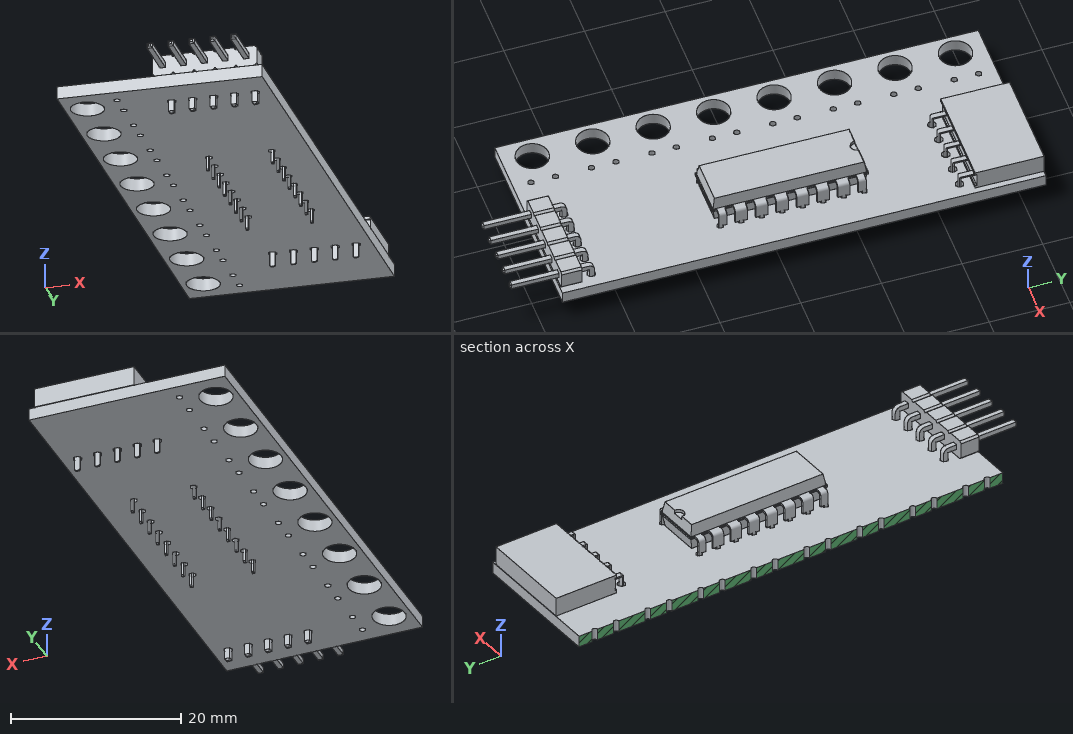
import cadquery as cq
import math


BOARD_WIDTH = 25.0
BOARD_LENGTH = 60.0
BOARD_THICKNESS = 1.6
LED_COUNT = 8
LED_HOLE_DIAMETER = 4.0
LED_HOLE_X = 2.7
LED_PITCH = BOARD_LENGTH / LED_COUNT
WIRE_HOLE_DIAMETER = 0.7
WIRE_HOLE_X = 6.7
WIRE_HOLE_SPACING = 3.0

CHIP_LEADS_PER_SIDE = 8
CHIP_ROW_LENGTH = 17.8
PIN_PITCH = CHIP_ROW_LENGTH / (CHIP_LEADS_PER_SIDE - 1)
CONNECTOR_PIN_COUNT = 5
CONNECTOR_WIDTH = CONNECTOR_PIN_COUNT * PIN_PITCH
CONNECTOR_CENTER_X = 17.9
CONNECTOR_HOLE_DIAMETER = 1.0
CONNECTOR_STANDOFF = 0.05
TAIL_LENGTH = 1.65
TAIL_TIP_CHAMFER = 0.1

HEADER_EDGE_GAP = 0.1
HEADER_CHAMFER = 0.25
HEADER_PIN_SIZE = 0.65
HEADER_PIN_Y = 4.2
HEADER_PIN_REACH = 5.9
HEADER_PIN_BEND_RADIUS = 0.8
HEADER_PIN_TIP_CHAMFER = 0.2
HEADER_TAIL_LENGTH = 1.5

SOCKET_DEPTH = 8.6
SOCKET_GROOVE_DEPTH = 0.2
SOCKET_LIP_HEIGHT = 0.4
SOCKET_PIN_WIDTH = 0.65
SOCKET_PIN_THICKNESS = 0.2
SOCKET_PIN_BEND_RADIUS = 0.2
SOCKET_PIN_INSET = 10.1

CHIP_LENGTH = 19.4
CHIP_WIDTH = 6.4
CHIP_LEDGE = 0.1
CHIP_TAPER = 0.25
CHIP_FACE_INSET = CHIP_LEDGE + CHIP_TAPER
CHIP_BASE_GAP = 0.3
CHIP_TOP_HEIGHT = 3.75
CHIP_NOTCH_DIAMETER = 1.5
CHIP_NOTCH_DEPTH = 0.4
CHIP_HOLE_DIAMETER = 0.8
LEAD_ROW_SPACING = 3 * PIN_PITCH
LEAD_THICKNESS = 0.25
LEAD_TOP_HEIGHT = 2.25
LEAD_BEND_RADIUS = 0.5
LEAD_WIDTH = 1.5
LEAD_TAIL_WIDTH = 0.45
LEAD_SHOULDER_GAP = 0.2

BOARD_TOP = BOARD_THICKNESS
CONNECTOR_BASE = BOARD_TOP + CONNECTOR_STANDOFF
CONNECTOR_TOP = CONNECTOR_BASE + PIN_PITCH
CONNECTOR_PIN_Z = (CONNECTOR_BASE + CONNECTOR_TOP) / 2
CONNECTOR_XS = [
    CONNECTOR_CENTER_X + (i - (CONNECTOR_PIN_COUNT - 1) / 2) * PIN_PITCH
    for i in range(CONNECTOR_PIN_COUNT)
]
CONNECTOR_LEFT = CONNECTOR_CENTER_X - CONNECTOR_WIDTH / 2
SOCKET_PIN_Y = BOARD_LENGTH - SOCKET_PIN_INSET
CHIP_CENTER_X = CONNECTOR_XS[0] + LEAD_ROW_SPACING / 2
CHIP_CENTER_Y = BOARD_LENGTH / 2
LEAD_YS = [
    CHIP_CENTER_Y - CHIP_ROW_LENGTH / 2 + i * PIN_PITCH
    for i in range(CHIP_LEADS_PER_SIDE)
]
LED_YS = [
    BOARD_LENGTH / 2 + (i - (LED_COUNT - 1) / 2) * LED_PITCH
    for i in range(LED_COUNT)
]


def box(x_range, y_range, z_range):
    """Axis-aligned block between the given limits."""
    (x0, x1), (y0, y1), (z0, z1) = x_range, y_range, z_range
    return cq.Workplane("XY").box(x1 - x0, y1 - y0, z1 - z0, centered=False).translate((x0, y0, z0))


def drill(body, points, diameter):
    """Holes through the full thickness of the board."""
    holes = cq.Workplane("XY").pushPoints(points).circle(diameter / 2).extrude(BOARD_THICKNESS)
    return body.cut(holes)


def make_board():
    board = box((0, BOARD_WIDTH), (0, BOARD_LENGTH), (0, BOARD_THICKNESS))
    half_spacing = WIRE_HOLE_SPACING / 2
    wire_points = [(WIRE_HOLE_X, y + side * half_spacing) for y in LED_YS for side in (-1, 1)]
    half_rows = LEAD_ROW_SPACING / 2
    lead_points = [(CHIP_CENTER_X + side * half_rows, y) for y in LEAD_YS for side in (-1, 1)]
    connector_points = [(x, y) for x in CONNECTOR_XS for y in (HEADER_PIN_Y, SOCKET_PIN_Y)]
    board = drill(board, [(LED_HOLE_X, y) for y in LED_YS], LED_HOLE_DIAMETER)
    board = drill(board, wire_points, WIRE_HOLE_DIAMETER)
    board = drill(board, lead_points, CHIP_HOLE_DIAMETER)
    return drill(board, connector_points, CONNECTOR_HOLE_DIAMETER)


def header_pin(x):
    """Square pin bent from a tail through the board to a contact over the front edge."""
    half = HEADER_PIN_SIZE / 2
    x_range = (x - half, x + half)
    z_top = CONNECTOR_PIN_Z + half
    leg = box(x_range, (HEADER_PIN_Y - half, HEADER_PIN_Y + half), (-HEADER_TAIL_LENGTH, z_top))
    leg = leg.faces("<Z").chamfer(HEADER_PIN_TIP_CHAMFER)
    contact = box(x_range, (-HEADER_PIN_REACH, HEADER_PIN_Y + half), (CONNECTOR_PIN_Z - half, z_top))
    contact = contact.faces("<Y").chamfer(HEADER_PIN_TIP_CHAMFER)
    return leg.union(contact).edges("|X and >Y and >Z").fillet(HEADER_PIN_BEND_RADIUS)


def make_header():
    """Row of chamfered cubic cells, one per pin, with the pins fixed in it."""
    y_range = (HEADER_EDGE_GAP, HEADER_EDGE_GAP + PIN_PITCH)
    z_range = (CONNECTOR_BASE, CONNECTOR_TOP)
    header = None
    for x in CONNECTOR_XS:
        cell = box((x - PIN_PITCH / 2, x + PIN_PITCH / 2), y_range, z_range)
        cell = cell.edges("|Y").chamfer(HEADER_CHAMFER).union(header_pin(x))
        header = cell if header is None else header.union(cell)
    return header


def socket_pin(x):
    """Flat L-shaped pin from the socket's rear face down through the board."""
    half_width = SOCKET_PIN_WIDTH / 2
    half = SOCKET_PIN_THICKNESS / 2
    x_range = (x - half_width, x + half_width)
    rear_face_y = BOARD_LENGTH - SOCKET_DEPTH + SOCKET_GROOVE_DEPTH
    leg = box(x_range, (SOCKET_PIN_Y - half, SOCKET_PIN_Y + half), (-TAIL_LENGTH, CONNECTOR_PIN_Z + half))
    leg = leg.faces("<Z").edges("|Y").chamfer(TAIL_TIP_CHAMFER)
    arm = box(x_range, (SOCKET_PIN_Y - half, rear_face_y), (CONNECTOR_PIN_Z - half, CONNECTOR_PIN_Z + half))
    return leg.union(arm).edges("|X and <Y and >Z").fillet(SOCKET_PIN_BEND_RADIUS)


def make_socket():
    """Block flush with the back edge, with a groove between two lips where the pins leave it."""
    x_range = (CONNECTOR_LEFT, CONNECTOR_LEFT + CONNECTOR_WIDTH)
    rear_y = BOARD_LENGTH - SOCKET_DEPTH
    socket = box(x_range, (rear_y, BOARD_LENGTH), (CONNECTOR_BASE, CONNECTOR_TOP))
    groove = box(
        x_range,
        (rear_y, rear_y + SOCKET_GROOVE_DEPTH),
        (CONNECTOR_BASE + SOCKET_LIP_HEIGHT, CONNECTOR_TOP - SOCKET_LIP_HEIGHT),
    )
    socket = socket.cut(groove)
    for x in CONNECTOR_XS:
        socket = socket.union(socket_pin(x))
    return socket


def chip_lead(side, y, shoulder_front, shoulder_back):
    """Bent lead: flat run out of the body, wide shoulder, narrow tail through the board."""
    inner_x = LEAD_ROW_SPACING / 2
    outer_x = inner_x + LEAD_THICKNESS
    root_x = CHIP_WIDTH / 2 - CHIP_FACE_INSET
    z_top = BOARD_TOP + LEAD_TOP_HEIGHT
    shoulder_z = BOARD_TOP + LEAD_SHOULDER_GAP
    bend_x = outer_x - LEAD_BEND_RADIUS
    bend_z = z_top - LEAD_BEND_RADIUS
    inner_radius = LEAD_BEND_RADIUS - LEAD_THICKNESS
    diagonal = math.sqrt(0.5)
    lead = (
        cq.Workplane("XZ", origin=(0, y + shoulder_back, 0))
        .moveTo(root_x, z_top)
        .lineTo(bend_x, z_top)
        .threePointArc(
            (bend_x + diagonal * LEAD_BEND_RADIUS, bend_z + diagonal * LEAD_BEND_RADIUS),
            (outer_x, bend_z),
        )
        .lineTo(outer_x, shoulder_z)
        .lineTo(inner_x, shoulder_z)
        .lineTo(inner_x, bend_z)
        .threePointArc(
            (bend_x + diagonal * inner_radius, bend_z + diagonal * inner_radius),
            (bend_x, z_top - LEAD_THICKNESS),
        )
        .lineTo(root_x, z_top - LEAD_THICKNESS)
        .close()
        .extrude(shoulder_front + shoulder_back)
    )
    half_tail = LEAD_TAIL_WIDTH / 2
    tail = box((inner_x, outer_x), (y - half_tail, y + half_tail), (-TAIL_LENGTH, shoulder_z))
    tail = tail.faces("<Z").edges("|X").chamfer(TAIL_TIP_CHAMFER)
    lead = lead.union(tail)
    if side < 0:
        lead = lead.mirror("YZ")
    return lead.translate((CHIP_CENTER_X, 0, 0))


def chip_half(z_wide, z_narrow):
    """Body part tapering from the parting band at z_wide to the face at z_narrow."""
    return (
        cq.Workplane("XY", origin=(CHIP_CENTER_X, CHIP_CENTER_Y, z_wide))
        .rect(CHIP_WIDTH - 2 * CHIP_LEDGE, CHIP_LENGTH - 2 * CHIP_LEDGE)
        .workplane(offset=z_narrow - z_wide)
        .rect(CHIP_WIDTH - 2 * CHIP_FACE_INSET, CHIP_LENGTH - 2 * CHIP_FACE_INSET)
        .loft(ruled=True)
    )


def make_chip():
    z_top = BOARD_TOP + CHIP_TOP_HEIGHT
    band_top = BOARD_TOP + LEAD_TOP_HEIGHT
    band_bottom = band_top - LEAD_THICKNESS
    half_width = CHIP_WIDTH / 2
    half_length = CHIP_LENGTH / 2
    chip = box(
        (CHIP_CENTER_X - half_width, CHIP_CENTER_X + half_width),
        (CHIP_CENTER_Y - half_length, CHIP_CENTER_Y + half_length),
        (band_bottom, band_top),
    )
    chip = chip.union(chip_half(band_top, z_top))
    chip = chip.union(chip_half(band_bottom, BOARD_TOP + CHIP_BASE_GAP))
    notch = (
        cq.Workplane("XY", origin=(CHIP_CENTER_X, CHIP_CENTER_Y + half_length - CHIP_FACE_INSET, z_top))
        .circle(CHIP_NOTCH_DIAMETER / 2)
        .extrude(-CHIP_NOTCH_DEPTH)
    )
    chip = chip.cut(notch)
    for y in LEAD_YS:
        front = LEAD_TAIL_WIDTH / 2 if y == LEAD_YS[0] else LEAD_WIDTH / 2
        back = LEAD_TAIL_WIDTH / 2 if y == LEAD_YS[-1] else LEAD_WIDTH / 2
        for side in (-1, 1):
            chip = chip.union(chip_lead(side, y, front, back))
    return chip


board = make_board()
header = make_header()
socket = make_socket()
chip = make_chip()

result = cq.Compound.makeCompound([board.val(), header.val(), socket.val(), chip.val()])